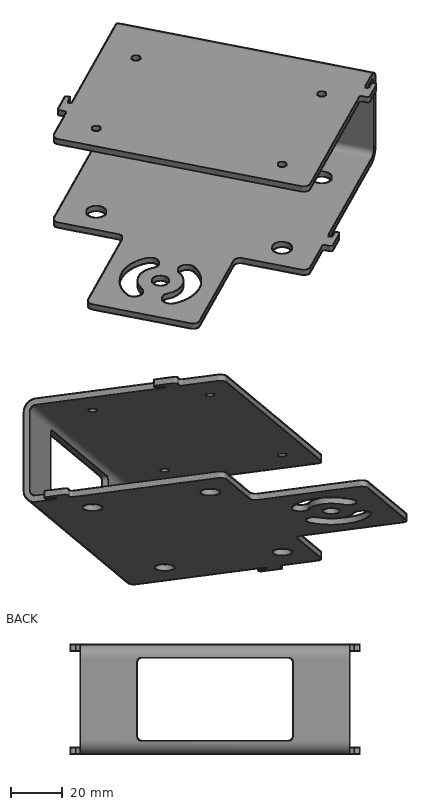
import cadquery as cq
import math

total_depth = 130.0
total_height = 42.2
sheet = 2.6
body_width = 104.0
body_depth = 83.1
inner_bend_radius = 2.6
outer_bend_radius = inner_bend_radius + sheet
corner_radius = 2.6

tab_width = 45.2
pivot_to_tab_end = 23.0
pivot_diameter = 6.6
slot_radius = 12.4
slot_width = 6.9
slot_half_angle = 53.0

hole_spacing_x = 75.4
hole_spacing_y = 48.8
hole_to_free_edge = 11.3
screw_diameter = 3.5
access_diameter = 7.8

window_width = 59.9
window_height = total_height - 2 * outer_bend_radius
window_radius = 1.7

overall_width = 111.5
hook_reach = (overall_width - body_width) / 2
hook_length = 9.6
hook_slot_width = 1.7
hook_slot_depth = 3.9
hook_radius = 0.9
hook_root_radius = 0.9
rear_hook_tip = 9.9
hook_pitch = 45.4

back_y = total_depth / 2
body_front_y = back_y - body_depth
tab_front_y = -total_depth / 2
pivot_y = tab_front_y + pivot_to_tab_end
rear_hook_y = back_y - rear_hook_tip
front_hook_y = rear_hook_y - hook_pitch
holes_y = body_front_y + hole_to_free_edge + hole_spacing_y / 2
upper_plate_z = total_height - sheet


def channel():
    """Folded U channel with equal upper and lower plates."""
    block = cq.Workplane("XY").box(body_width, body_depth, total_height, centered=(True, False, False))
    block = block.translate((0, body_front_y, 0)).edges("|X and >Y").fillet(outer_bend_radius)
    cavity = cq.Workplane("XY").box(
        body_width, body_depth - sheet, total_height - 2 * sheet, centered=(True, False, False)
    )
    cavity = cavity.translate((0, body_front_y, sheet)).edges("|X and >Y").fillet(inner_bend_radius)
    return block.cut(cavity).edges("|Z and <Y").fillet(corner_radius)


def tab():
    """Tab continuing the lower plate forward, with filleted inner corners."""
    half = tab_width / 2
    root_y = body_front_y
    return (
        cq.Workplane("XY")
        .moveTo(-half, tab_front_y + corner_radius)
        .radiusArc((-half + corner_radius, tab_front_y), -corner_radius)
        .lineTo(half - corner_radius, tab_front_y)
        .radiusArc((half, tab_front_y + corner_radius), -corner_radius)
        .lineTo(half, root_y - corner_radius)
        .radiusArc((half + corner_radius, root_y), corner_radius)
        .lineTo(half + corner_radius, root_y + sheet)
        .lineTo(-half - corner_radius, root_y + sheet)
        .lineTo(-half - corner_radius, root_y)
        .radiusArc((-half, root_y - corner_radius), corner_radius)
        .close()
        .extrude(sheet)
    )


def hook(side, tip_y, bottom_z):
    """Hook opening toward +Y on the +X (side=1) or -X (side=-1) edge of a plate."""
    edge = body_width / 2
    outer = edge + hook_reach
    end_y = tip_y - hook_length
    slot_outer = edge + hook_slot_width
    slot_arc_y = tip_y - hook_slot_depth + hook_slot_width / 2
    shape = (
        cq.Workplane("XY")
        .moveTo(edge - sheet, slot_arc_y)
        .lineTo(edge, slot_arc_y)
        .radiusArc((slot_outer, slot_arc_y), -hook_slot_width / 2)
        .lineTo(slot_outer, tip_y)
        .lineTo(outer - hook_radius, tip_y)
        .radiusArc((outer, tip_y - hook_radius), hook_radius)
        .lineTo(outer, end_y + hook_radius)
        .radiusArc((outer - hook_radius, end_y), hook_radius)
        .lineTo(edge + hook_root_radius, end_y)
        .radiusArc((edge, end_y - hook_root_radius), -hook_root_radius)
        .lineTo(edge - sheet, end_y - hook_root_radius)
        .close()
        .extrude(sheet)
    )
    if side < 0:
        shape = shape.mirror("YZ")
    return shape.translate((0, 0, bottom_z))


def plate_holes(diameter, bottom_z):
    """Cutters for the four holes of one plate."""
    return (
        cq.Workplane("XY", origin=(0, holes_y, bottom_z))
        .rect(hole_spacing_x, hole_spacing_y, forConstruction=True)
        .vertices()
        .circle(diameter / 2)
        .extrude(sheet)
    )


def curved_slot():
    """Cutter for the round-ended arc slot on the +X side of the pivot."""
    inner = slot_radius - slot_width / 2
    outer = slot_radius + slot_width / 2
    angle = math.radians(slot_half_angle)

    def at(radius, turn):
        return (radius * math.cos(turn), radius * math.sin(turn))

    return (
        cq.Workplane("XY", origin=(0, pivot_y, 0))
        .moveTo(*at(outer, -angle))
        .threePointArc((outer, 0), at(outer, angle))
        .radiusArc(at(inner, angle), -slot_width / 2)
        .threePointArc((inner, 0), at(inner, -angle))
        .radiusArc(at(outer, -angle), -slot_width / 2)
        .close()
        .extrude(sheet)
    )


def window():
    """Cutter for the rounded window through the back wall."""
    return (
        cq.Workplane("XY")
        .box(window_width, sheet, window_height)
        .edges("|Y")
        .fillet(window_radius)
        .translate((0, back_y - sheet / 2, total_height / 2))
    )


result = channel().union(tab())
for side, tip_y, bottom_z in (
    (-1, rear_hook_y, 0),
    (1, front_hook_y, 0),
    (-1, front_hook_y, upper_plate_z),
    (1, rear_hook_y, upper_plate_z),
):
    result = result.union(hook(side, tip_y, bottom_z))

pivot_hole = cq.Workplane("XY", origin=(0, pivot_y, 0)).circle(pivot_diameter / 2).extrude(sheet)
result = (
    result.cut(window())
    .cut(plate_holes(screw_diameter, upper_plate_z))
    .cut(plate_holes(access_diameter, 0))
    .cut(pivot_hole)
    .cut(curved_slot())
    .cut(curved_slot().mirror("YZ"))
)